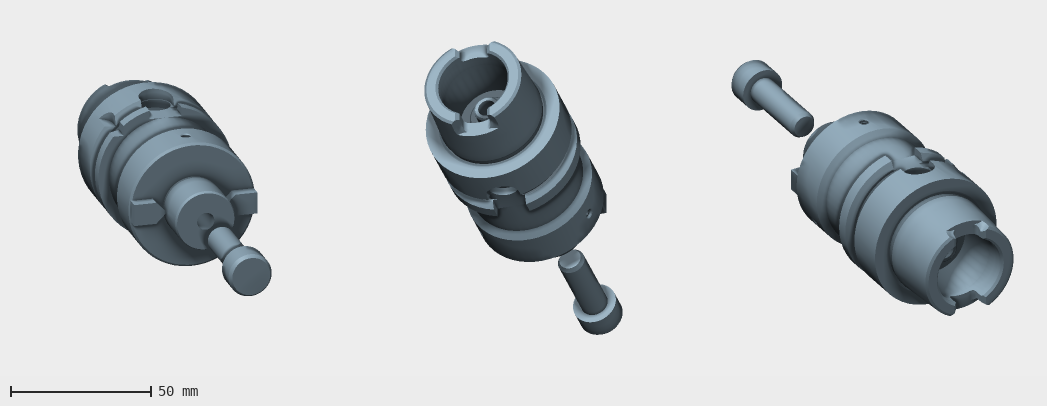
import cadquery as cq

TOTAL_LENGTH = 160.0

SHANK_LENGTH = 25.0
SHANK_END_RADIUS = 18.0
TAPER_RATIO = 0.05
TAPER_LENGTH = 22.7
SHANK_CHAMFER_LENGTH = 0.6
SHANK_CHAMFER_HEIGHT = 1.0
RELIEF_RADIUS = 18.7
RELIEF_SLOPE_LENGTH = 1.1
RELIEF_FACE_RADIUS = 20.2
RELIEF_FACE_DEPTH = 0.5

FLANGE_RADIUS = 25.0
FLANGE_END = 50.9
GROOVE_START = 39.8
GROOVE_END = 46.4
GROOVE_SLOPE_LENGTH = 1.5
GROOVE_SLOPE_RADIUS = 22.4
GROOVE_FLOOR_RADIUS = 21.5

NECK_RADIUS = 21.0
NECK_END = 67.2
RING_RADIUS = 23.5
RING_START = 69.6
RING_END = 85.0
RING_CHAMFER = 0.8
SPIGOT_DIAMETER = 22.2
SPIGOT_RADIUS = SPIGOT_DIAMETER / 2
SPIGOT_END = 102.0
SPIGOT_CHAMFER_LENGTH = 1.1
SPIGOT_CHAMFER_HEIGHT = 0.5
SPIGOT_RELIEF_RADIUS = 10.9
SPIGOT_RELIEF_LENGTH = 1.0
SPIGOT_RELIEF_SLOPE = 0.8

BORE_RADIUS = 13.0
BORE_CHAMFER = 0.8
BORE_STRAIGHT_LENGTH = 9.3
BORE_FLOOR_RADIUS = 12.0
BORE_DEPTH = SHANK_LENGTH
NOZZLE_BASE_RADIUS = 8.0
NOZZLE_BASE_HEIGHT = 2.4
NOZZLE_TIP_RADIUS = 5.0
NOZZLE_TIP_HEIGHT = 4.8
NOZZLE_CHAMFER = 0.6
COOLANT_HOLE_DIAMETER = 6.4

UPPER_SLOT_DEPTH = 4.3
LOWER_SLOT_DEPTH = 7.0
SHANK_SLOT_WIDTH = 10.2
SHANK_SLOT_CORNER = 1.6
SLOT_MOUTH_CHAMFER = 1.3
FLARE_START_HEIGHT = 14.4
FLARE_HEIGHT = 4.8
FLARE_ANGLE = 57.0
FLARE_SETBACK = 2.9

CUTTER_DIAMETER = 12.0
CUTTER_RADIUS = CUTTER_DIAMETER / 2
KEYWAY_CENTER_X = 37.8
KEYWAY_FLOOR_HEIGHT = 21.0
POCKET_DIAMETER = 11.0
POCKET_DEPTH = 3.0
NOTCH_OFFSET = 15.7

KEY_WIDTH = 8.0
KEY_END = 89.5
KEY_OUTER_DISTANCE = 22.9
KEY_INNER_EDGE = 14.7

HOLE_X = 76.8
HOLE_COUNT = 3
HOLE_MOUTH_DIAMETER = 4.0
HOLE_DIAMETER = 3.4
HOLE_DEPTH = 1.1
PILOT_DIAMETER = 2.2
PILOT_DEPTH = 2.4
PILOT_CONE_DEPTH = 0.6

SCREW_RADIUS = 5.0
SCREW_START = 120.0
SCREW_TIP_LENGTH = 1.6
SCREW_TIP_RADIUS = 4.0
HEAD_RADIUS = 8.0
HEAD_START = 150.0
HEAD_CHAMFER_LENGTH = 1.5
HEAD_CHAMFER_HEIGHT = 1.0


def turned(points):
    """Revolve a closed outline of (x, radius) points about the X axis."""
    return cq.Workplane("XY").polyline(points).close().revolve(360, (0, 0, 0), (1, 0, 0))


def holder_blank():
    taper_end_radius = SHANK_END_RADIUS + TAPER_RATIO * TAPER_LENGTH
    shank_edge_radius = SHANK_END_RADIUS + TAPER_RATIO * SHANK_CHAMFER_LENGTH
    spigot_relief_end = RING_END + SPIGOT_RELIEF_LENGTH
    return turned([
        (0, 0),
        (0, SHANK_END_RADIUS - SHANK_CHAMFER_HEIGHT),
        (SHANK_CHAMFER_LENGTH, shank_edge_radius),
        (TAPER_LENGTH, taper_end_radius),
        (TAPER_LENGTH + RELIEF_SLOPE_LENGTH, RELIEF_RADIUS),
        (SHANK_LENGTH + RELIEF_FACE_DEPTH, RELIEF_RADIUS),
        (SHANK_LENGTH + RELIEF_FACE_DEPTH, taper_end_radius),
        (SHANK_LENGTH, RELIEF_FACE_RADIUS),
        (SHANK_LENGTH, FLANGE_RADIUS),
        (GROOVE_START, FLANGE_RADIUS),
        (GROOVE_START + GROOVE_SLOPE_LENGTH, GROOVE_SLOPE_RADIUS),
        (GROOVE_START + GROOVE_SLOPE_LENGTH, GROOVE_FLOOR_RADIUS),
        (GROOVE_END - GROOVE_SLOPE_LENGTH, GROOVE_FLOOR_RADIUS),
        (GROOVE_END - GROOVE_SLOPE_LENGTH, GROOVE_SLOPE_RADIUS),
        (GROOVE_END, FLANGE_RADIUS),
        (FLANGE_END, FLANGE_RADIUS),
        (FLANGE_END, NECK_RADIUS),
        (NECK_END, NECK_RADIUS),
        (RING_START, RING_RADIUS),
        (RING_END - RING_CHAMFER, RING_RADIUS),
        (RING_END, RING_RADIUS - RING_CHAMFER),
        (RING_END, SPIGOT_RELIEF_RADIUS),
        (spigot_relief_end, SPIGOT_RELIEF_RADIUS),
        (spigot_relief_end + SPIGOT_RELIEF_SLOPE, SPIGOT_RADIUS),
        (SPIGOT_END - SPIGOT_CHAMFER_LENGTH, SPIGOT_RADIUS),
        (SPIGOT_END, SPIGOT_RADIUS - SPIGOT_CHAMFER_HEIGHT),
        (SPIGOT_END, 0),
    ])


def shank_bore():
    """Hollow of the shank, leaving the stepped nozzle standing on its floor."""
    base_x = BORE_DEPTH - NOZZLE_BASE_HEIGHT
    tip_x = base_x - NOZZLE_TIP_HEIGHT
    return turned([
        (0, 0),
        (0, BORE_RADIUS + BORE_CHAMFER),
        (BORE_CHAMFER, BORE_RADIUS),
        (BORE_STRAIGHT_LENGTH, BORE_RADIUS),
        (BORE_DEPTH, BORE_FLOOR_RADIUS),
        (BORE_DEPTH, NOZZLE_BASE_RADIUS),
        (base_x + NOZZLE_CHAMFER, NOZZLE_BASE_RADIUS),
        (base_x, NOZZLE_BASE_RADIUS - NOZZLE_CHAMFER),
        (base_x, NOZZLE_TIP_RADIUS),
        (tip_x + NOZZLE_CHAMFER, NOZZLE_TIP_RADIUS),
        (tip_x, NOZZLE_TIP_RADIUS - NOZZLE_CHAMFER),
        (tip_x, 0),
    ])


def coolant_hole():
    return cq.Workplane("YZ").circle(COOLANT_HOLE_DIAMETER / 2).extrude(SPIGOT_END)


def shank_slot(depth):
    """Drive slot through the upper shank wall: bevelled mouth, round corners, flared outer edge.

    The flare widens outwards but never cuts deeper than the slot floor.
    """
    half_width = SHANK_SLOT_WIDTH / 2
    mouth_half_width = half_width + SLOT_MOUTH_CHAMFER
    slot = (
        cq.Workplane("XY")
        .moveTo(0, -mouth_half_width)
        .lineTo(SLOT_MOUTH_CHAMFER, -half_width)
        .lineTo(depth - SHANK_SLOT_CORNER, -half_width)
        .radiusArc((depth, SHANK_SLOT_CORNER - half_width), -SHANK_SLOT_CORNER)
        .lineTo(depth, half_width - SHANK_SLOT_CORNER)
        .radiusArc((depth - SHANK_SLOT_CORNER, half_width), -SHANK_SLOT_CORNER)
        .lineTo(SLOT_MOUTH_CHAMFER, half_width)
        .lineTo(0, mouth_half_width)
        .close()
        .extrude(FLANGE_RADIUS)
    )
    flare_reach = depth - FLARE_SETBACK
    flare = (
        cq.Workplane("XY", origin=(0, 0, FLARE_START_HEIGHT))
        .rect(2 * flare_reach, SHANK_SLOT_WIDTH)
        .extrude(FLARE_HEIGHT, taper=-FLARE_ANGLE)
    )
    flare_limit = cq.Workplane("XY").box(2 * depth, 2 * FLANGE_RADIUS, 2 * FLANGE_RADIUS)
    return slot.union(flare.intersect(flare_limit))


def milled_channel(center_y, floor_z):
    """Channel open to +X and +Z, with a round -X end as wide as the cutter."""
    length = FLANGE_END - KEYWAY_CENTER_X
    return (
        cq.Workplane("XY", origin=(KEYWAY_CENTER_X, center_y, floor_z))
        .moveTo(length, -CUTTER_RADIUS)
        .lineTo(0, -CUTTER_RADIUS)
        .threePointArc((-CUTTER_RADIUS, 0), (0, CUTTER_RADIUS))
        .lineTo(length, CUTTER_RADIUS)
        .close()
        .extrude(FLANGE_RADIUS)
    )


def flange_keyway():
    """Keyway in the top of the flange, with a round pocket in its floor."""
    pocket = (
        cq.Workplane("XY", origin=(KEYWAY_CENTER_X, 0, KEYWAY_FLOOR_HEIGHT - POCKET_DEPTH))
        .circle(POCKET_DIAMETER / 2)
        .extrude(POCKET_DEPTH)
    )
    return milled_channel(0, KEYWAY_FLOOR_HEIGHT).union(pocket)


def index_notch():
    """Corner notch between -Y and +Z, its wall running out in the radius of the cutter."""
    return milled_channel(-NOTCH_OFFSET - CUTTER_RADIUS, NOTCH_OFFSET)


def drive_key():
    """Key on the +Y side of the ring face; its inner end is a 90 degree point."""
    half_width = KEY_WIDTH / 2
    key_start = RING_END - RING_CHAMFER
    return (
        cq.Workplane("YZ", origin=(key_start, 0, 0))
        .polyline([
            (KEY_OUTER_DISTANCE, -half_width),
            (KEY_OUTER_DISTANCE, half_width),
            (KEY_INNER_EDGE, half_width),
            (KEY_INNER_EDGE - half_width, 0),
            (KEY_INNER_EDGE, -half_width),
        ])
        .close()
        .extrude(KEY_END - key_start)
    )


def radial_hole():
    """Countersunk blind hole with a narrower, pointed pilot hole, entering the ring from +Z."""
    mouth_radius = HOLE_MOUTH_DIAMETER / 2
    radius = HOLE_DIAMETER / 2
    pilot_radius = PILOT_DIAMETER / 2
    step_z = RING_RADIUS - HOLE_DEPTH
    pilot_floor_z = RING_RADIUS - PILOT_DEPTH
    return (
        cq.Workplane("XZ", origin=(HOLE_X, 0, 0))
        .polyline([
            (0, pilot_floor_z - PILOT_CONE_DEPTH),
            (pilot_radius, pilot_floor_z),
            (pilot_radius, step_z),
            (radius, step_z),
            (radius, RING_RADIUS - (mouth_radius - radius)),
            (mouth_radius, RING_RADIUS),
            (0, RING_RADIUS),
        ])
        .close()
        .revolve(360, (0, 0, 0), (0, 1, 0))
    )


def about_axis(shape, angle):
    return shape.rotate((0, 0, 0), (1, 0, 0), angle)


def make_holder():
    holder = holder_blank()
    for angle in (0, 180):
        holder = holder.union(about_axis(drive_key(), angle))
        holder = holder.cut(about_axis(flange_keyway(), angle))
    holder = holder.cut(shank_bore())
    holder = holder.cut(coolant_hole())
    holder = holder.cut(shank_slot(UPPER_SLOT_DEPTH))
    holder = holder.cut(about_axis(shank_slot(LOWER_SLOT_DEPTH), 180))
    holder = holder.cut(index_notch())
    for i in range(HOLE_COUNT):
        holder = holder.cut(about_axis(radial_hole(), i * 360 / HOLE_COUNT))
    return holder


def make_screw():
    return turned([
        (SCREW_START, 0),
        (SCREW_START, SCREW_TIP_RADIUS),
        (SCREW_START + SCREW_TIP_LENGTH, SCREW_RADIUS),
        (HEAD_START, SCREW_RADIUS),
        (HEAD_START, HEAD_RADIUS),
        (TOTAL_LENGTH - HEAD_CHAMFER_LENGTH, HEAD_RADIUS),
        (TOTAL_LENGTH, HEAD_RADIUS - HEAD_CHAMFER_HEIGHT),
        (TOTAL_LENGTH, 0),
    ])


holder = make_holder()
screw = make_screw()
result = cq.Compound.makeCompound([holder.val(), screw.val()])